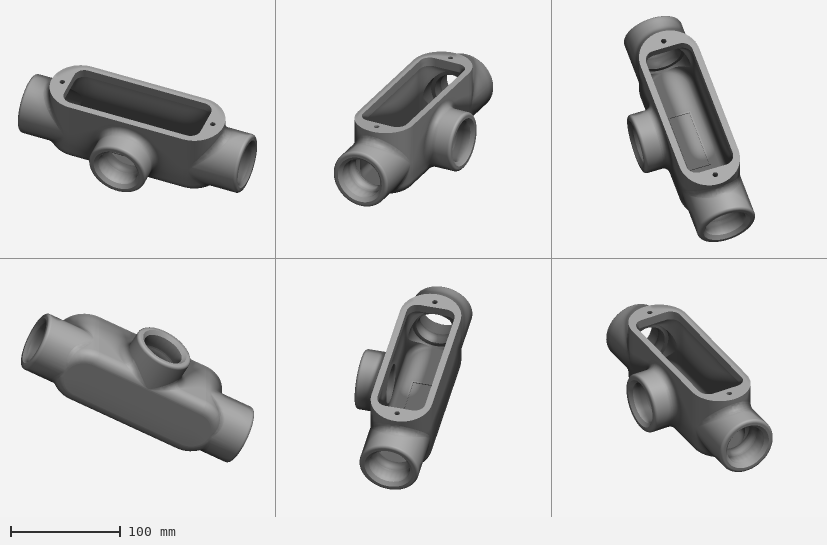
import cadquery as cq
import math

length = 214.4
height = 66.9
width = 56.5
body_half_straight = 55.7
body_bottom_round = 9.9
hub_diameter = 55.5
hub_axis_z = 27.9
side_hub_reach = 23.2
hub_root_fillet = 6.2
hub_mouth_round = 2.8

cavity_wall = 5.0
cavity_floor_z = 5.4
cavity_floor_fillet = 5.1
lip_depth = 8.5
opening_length = 133.8
opening_width = 44.5
opening_corner_radius = 9.9

mouth_radius = 22.5
seat_radius = 19.3
seat_depth = 3.2
taper_end_radius = 18.9
taper_end_depth = 15.9
bushing_radius = 18.5
bushing_depth = 17.2
throat_diameter = 33.7
throat_depth = 22.0
bore_overrun = 6.5
pocket_radius = 22.3
pocket_depth = 28.5

screw_hole_diameter = 5.0
screw_hole_spacing = 147.5
label_length = 59.0
label_width = 21.5
label_border = 1.5
label_border_height = 0.9

body_radius = width / 2
hub_radius = hub_diameter / 2
throat_radius = throat_diameter / 2
cavity_radius = body_radius - cavity_wall
bore_depth = side_hub_reach + cavity_wall
lip_bottom_z = height - lip_depth
side_mouth_distance = body_radius + side_hub_reach

end_hubs = [(0, length / 2), (180, length / 2)]
side_hub = (-90, side_mouth_distance)
hubs = end_hubs + [side_hub]


def stadium(radius, bottom, top):
    """Upright prism with straight sides and semicircular ends along X."""
    overall_length = 2 * (body_half_straight + radius)
    return (
        cq.Workplane("XY", origin=(0, 0, bottom))
        .slot2D(overall_length, 2 * radius)
        .extrude(top - bottom)
    )


def place_on_hub(shape, angle, mouth_distance):
    """Move a shape built along +Z from the origin so it runs inward from a hub mouth."""
    return (
        shape.rotate((0, 0, 0), (0, 1, 0), -90)
        .translate((mouth_distance, 0, hub_axis_z))
        .rotate((0, 0, 0), (0, 0, 1), angle)
    )


def make_body():
    """Stadium body with a rounded bottom edge and three blended hubs."""
    body = stadium(body_radius, 0, height).faces("<Z").edges().fillet(body_bottom_round)
    hub_length = length / 2 - body_half_straight
    hub = cq.Workplane("XY").circle(hub_radius).extrude(hub_length)
    hub = hub.faces("<Z").edges().fillet(hub_mouth_round)
    for angle, mouth_distance in hubs:
        body = body.union(place_on_hub(hub, angle, mouth_distance))
    return blend_hub_roots(body)


def blend_hub_roots(body):
    """Fillet the curves where the hubs meet the body."""
    curved_roots = body.edges("%BSPLINE")
    margin = 0.2
    side_face_box = cq.selectors.BoxSelector(
        (-body_half_straight, -body_radius - margin, 0),
        (body_half_straight, -body_radius + margin, height),
        boundingbox=True,
    )
    side_root = body.edges("%CIRCLE").edges(side_face_box)
    return body.newObject(curved_roots.vals() + side_root.vals()).fillet(hub_root_fillet)


def make_cavity():
    """Undercut chamber below the lip, joined to the smaller opening in the top."""
    chamber = stadium(cavity_radius, cavity_floor_z, lip_bottom_z)
    chamber = chamber.faces("<Z").edges().fillet(cavity_floor_fillet)
    opening = (
        cq.Workplane("XY", origin=(0, 0, hub_axis_z))
        .rect(opening_length, opening_width)
        .extrude(height - hub_axis_z)
        .edges("|Z")
        .fillet(opening_corner_radius)
    )
    return chamber.union(opening)


def rounded_throat_point(start, end):
    """Middle of an arc that leaves `start` and ends parallel to the hub axis at `end`."""
    start_radius, start_depth = start
    end_radius, end_depth = end
    drop = start_radius - end_radius
    run = end_depth - start_depth
    arc_radius = (drop**2 + run**2) / (2 * drop)
    sweep = math.atan2(run, arc_radius - drop)
    middle_radius = end_radius + arc_radius * (1 - math.cos(sweep / 2))
    middle_depth = end_depth - arc_radius * math.sin(sweep / 2)
    return (middle_radius, middle_depth)


def make_hub_bore():
    """Countersunk mouth and tapered seat, then a throat rounded on both sides."""
    bushing_front = (bushing_radius, bushing_depth)
    bushing_back = (bushing_radius, bore_depth)
    throat = (throat_radius, throat_depth)
    inner_end = bore_depth + bore_overrun
    return (
        cq.Workplane("XZ")
        .lineTo(mouth_radius, 0)
        .lineTo(seat_radius, seat_depth)
        .lineTo(taper_end_radius, taper_end_depth)
        .lineTo(*bushing_front)
        .threePointArc(rounded_throat_point(bushing_front, throat), throat)
        .threePointArc(rounded_throat_point(bushing_back, throat), bushing_back)
        .lineTo(bushing_radius, inner_end)
        .lineTo(0, inner_end)
        .close()
        .revolve(360, (0, 0, 0), (0, 1, 0))
    )


def make_end_pocket():
    """Round recess behind an end hub, between its throat and the chamber."""
    pocket_length = length / 2 - body_half_straight - pocket_depth
    return (
        cq.Workplane("XY", origin=(0, 0, pocket_depth))
        .circle(pocket_radius)
        .extrude(pocket_length)
    )


def make_screw_holes():
    hole_x = screw_hole_spacing / 2
    return (
        cq.Workplane("XY", origin=(0, 0, lip_bottom_z))
        .pushPoints([(-hole_x, 0), (hole_x, 0)])
        .circle(screw_hole_diameter / 2)
        .extrude(lip_depth)
    )


def make_label_frame():
    """Raised rectangular border on the cavity floor."""
    return (
        cq.Workplane("XY", origin=(0, 0, cavity_floor_z))
        .rect(label_length, label_width)
        .rect(label_length - 2 * label_border, label_width - 2 * label_border)
        .extrude(label_border_height)
    )


result = make_body().cut(make_cavity())
hub_bore = make_hub_bore()
for hub_angle, hub_mouth_distance in hubs:
    result = result.cut(place_on_hub(hub_bore, hub_angle, hub_mouth_distance))
end_pocket = make_end_pocket()
for hub_angle, hub_mouth_distance in end_hubs:
    result = result.cut(place_on_hub(end_pocket, hub_angle, hub_mouth_distance))
result = result.cut(make_screw_holes()).union(make_label_frame())